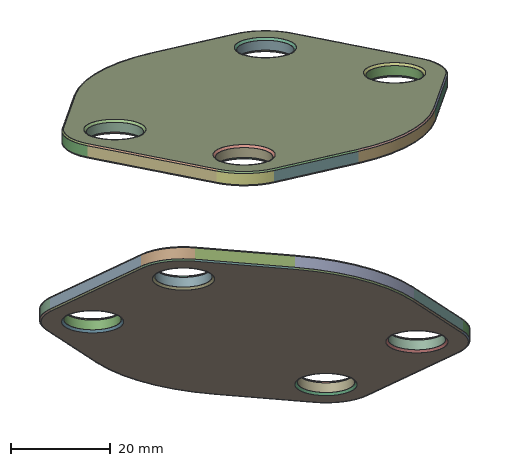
import cadquery as cq
import math

length = 80.0
width = 73.0
thickness = 3.0

hole_diameter = 11.5
hole_spacing_x = 30.2
hole_spacing_y = 58.7
hole_chamfer = 0.5

edge_chamfer = 0.3

hole_x = hole_spacing_x / 2
hole_y = hole_spacing_y / 2
side_radius = width / 2
corner_radius = length / 2 - hole_y

flank_angle = math.atan2(hole_y, hole_x) - math.acos(
    (side_radius - corner_radius) / math.hypot(hole_x, hole_y)
)
corner_mid_angle = (flank_angle + math.pi / 2) / 2


def corner_point(angle, sign_x, sign_y):
    """Point on a corner arc, mirrored into the chosen quadrant."""
    x = hole_x + corner_radius * math.cos(angle)
    y = hole_y + corner_radius * math.sin(angle)
    return (sign_x * x, sign_y * y)


def side_point(sign_x, sign_y):
    """End of a side arc, where it meets the straight flank."""
    x = side_radius * math.cos(flank_angle)
    y = side_radius * math.sin(flank_angle)
    return (sign_x * x, sign_y * y)


def corner_arc(outline, start_angle, end_angle, sign_x, sign_y):
    """Draw a straight line to a corner, then its arc."""
    return outline.lineTo(*corner_point(start_angle, sign_x, sign_y)).threePointArc(
        corner_point(corner_mid_angle, sign_x, sign_y),
        corner_point(end_angle, sign_x, sign_y),
    )


def make_plate():
    """Rounded plate with both rims chamfered."""
    top_angle = math.pi / 2
    outline = cq.Workplane("XY").moveTo(*side_point(1, -1))
    outline = outline.threePointArc((side_radius, 0), side_point(1, 1))
    outline = corner_arc(outline, flank_angle, top_angle, 1, 1)
    outline = corner_arc(outline, top_angle, flank_angle, -1, 1)
    outline = outline.lineTo(*side_point(-1, 1))
    outline = outline.threePointArc((-side_radius, 0), side_point(-1, -1))
    outline = corner_arc(outline, flank_angle, top_angle, -1, -1)
    outline = corner_arc(outline, top_angle, flank_angle, 1, -1)
    plate = outline.close().extrude(thickness)
    return plate.faces("<Z or >Z").edges().chamfer(edge_chamfer)


def make_hole_cutter():
    """Bolt hole volume, flared at both ends to chamfer the hole rims."""
    rim_radius = hole_diameter / 2 + hole_chamfer
    shaft = cq.Workplane("XY").circle(hole_diameter / 2).extrude(thickness)
    lower_flare = cq.Workplane("XY").circle(rim_radius).extrude(hole_chamfer, taper=45)
    upper_flare = lower_flare.mirror("XY").translate((0, 0, thickness))
    return shaft.union(lower_flare).union(upper_flare)


def cut_bolt_holes(plate):
    """Four through holes on a rectangular pattern."""
    cutter = make_hole_cutter()
    for x in (-hole_x, hole_x):
        for y in (-hole_y, hole_y):
            plate = plate.cut(cutter.translate((x, y, 0)))
    return plate


result = cut_bolt_holes(make_plate())